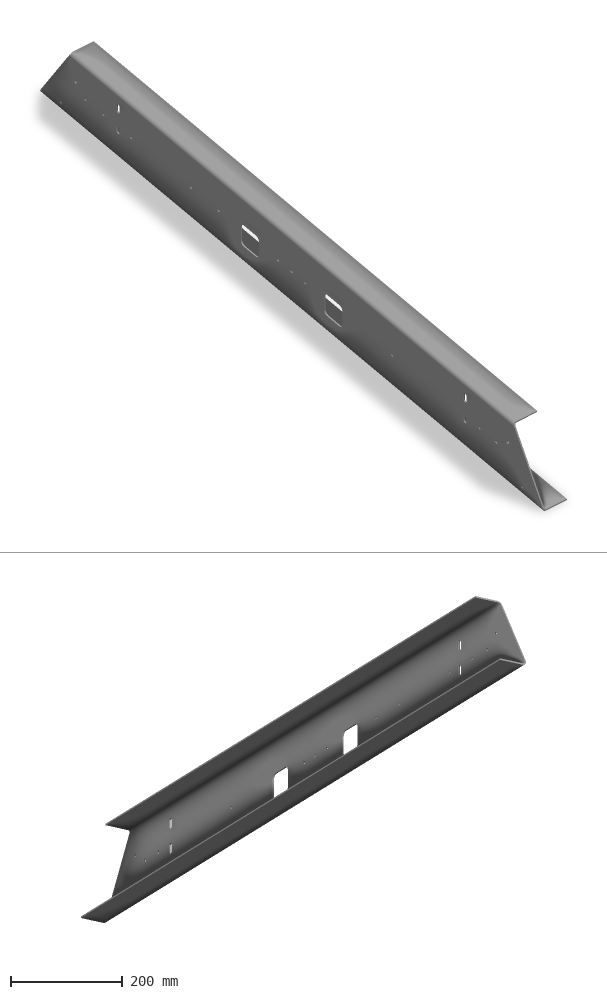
import cadquery as cq

length = 1466.0
depth = 54.0
height = 153.0
sheet = 3.0
outer_bend = 7.0
inner_bend = outer_bend - sheet
top_length = 1293.0

hole_diameter = 6.7
middle_row_z = -2.2
middle_row_x = [-601.0, -548.0, -468.0, -293.0, -213.0, -40.0, 0.0, 40.0, 293.0, 548.0, 597.0]
upper_hole_x = 630.0
upper_hole_z = 19.0
lower_hole_x = 673.0
lower_hole_z = -57.0
slot_x = 506.0
slot_heights = [40.0, -9.0]
slot_length = 20.0
slot_width = 9.0
window_x = 122.0
window_z = -13.0
window_width = 53.0
window_height = 50.0
window_corner = 9.0

web_y = -depth / 2
flange_y = depth / 2


def make_channel():
    """Bent C section, open toward +Y and extruded along X."""
    outer = (
        cq.Workplane("XY")
        .box(length, depth, height)
        .edges("|X and <Y")
        .fillet(outer_bend)
    )
    inner = (
        cq.Workplane("XY")
        .box(length, depth, height - 2 * sheet)
        .edges("|X and <Y")
        .fillet(inner_bend)
        .translate((0, sheet, 0))
    )
    return outer.cut(inner)


def make_end_trim():
    """Web outline: sloped sides with short square ends at the flanges."""
    half_top = top_length / 2
    half_bottom = length / 2
    slope_bottom_z = -height / 2 + outer_bend
    slope_top_z = height / 2 - sheet
    outline = [
        (-half_bottom, -height / 2),
        (half_bottom, -height / 2),
        (half_bottom, slope_bottom_z),
        (half_top, slope_top_z),
        (half_top, height / 2),
        (-half_top, height / 2),
        (-half_top, slope_top_z),
        (-half_bottom, slope_bottom_z),
    ]
    return (
        cq.Workplane("XZ", origin=(0, flange_y, 0))
        .polyline(outline)
        .close()
        .extrude(depth)
    )


def web_sketch():
    """Workplane on the outer web face; local axes are X and Z."""
    return cq.Workplane("XZ", origin=(0, web_y, 0))


def make_holes():
    points = [(x, middle_row_z) for x in middle_row_x]
    for side in (-1, 1):
        points.append((side * upper_hole_x, upper_hole_z))
        points.append((side * lower_hole_x, lower_hole_z))
    return web_sketch().pushPoints(points).circle(hole_diameter / 2).extrude(-sheet)


def make_slots():
    points = [(side * slot_x, z) for side in (-1, 1) for z in slot_heights]
    return web_sketch().pushPoints(points).slot2D(slot_length, slot_width, 90).extrude(-sheet)


def make_windows():
    return (
        web_sketch()
        .pushPoints([(-window_x, window_z), (window_x, window_z)])
        .rect(window_width, window_height)
        .extrude(-sheet)
        .edges("|Y")
        .fillet(window_corner)
    )


result = (
    make_channel()
    .intersect(make_end_trim())
    .cut(make_holes())
    .cut(make_slots())
    .cut(make_windows())
)